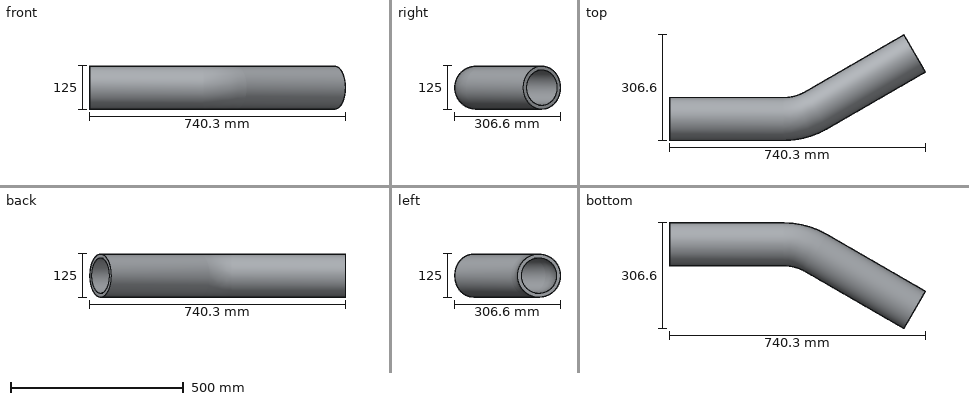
import cadquery as cq
import math

outer_diameter = 125.0
bore_diameter = 102.2
bend_angle = 30.0
leg_length = 380.0
bend_ratio = 1.5

bend_radius = bend_ratio * outer_diameter
bend_setback = bend_radius * math.tan(math.radians(bend_angle / 2))


def bend_point(angle):
    """Point on the curved pipe axis, at an angle in degrees from the start of the bend."""
    turn = math.radians(angle)
    x = -bend_setback + bend_radius * math.sin(turn)
    y = bend_radius * (1 - math.cos(turn))
    return (x, y)


def pipe_axis():
    """Pipe axis in the XY plane: straight, bend toward +Y, straight. The leg axes cross at the origin."""
    turn = math.radians(bend_angle)
    far_end = (leg_length * math.cos(turn), leg_length * math.sin(turn))
    return (
        cq.Workplane("XY")
        .moveTo(-leg_length, 0)
        .lineTo(*bend_point(0))
        .threePointArc(bend_point(bend_angle / 2), bend_point(bend_angle))
        .lineTo(*far_end)
    )


def bent_pipe():
    """Ring-shaped section at the -X end, swept along the pipe axis."""
    section = (
        cq.Workplane("YZ", origin=(-leg_length, 0, 0))
        .circle(outer_diameter / 2)
        .circle(bore_diameter / 2)
    )
    return section.sweep(pipe_axis())


result = bent_pipe()